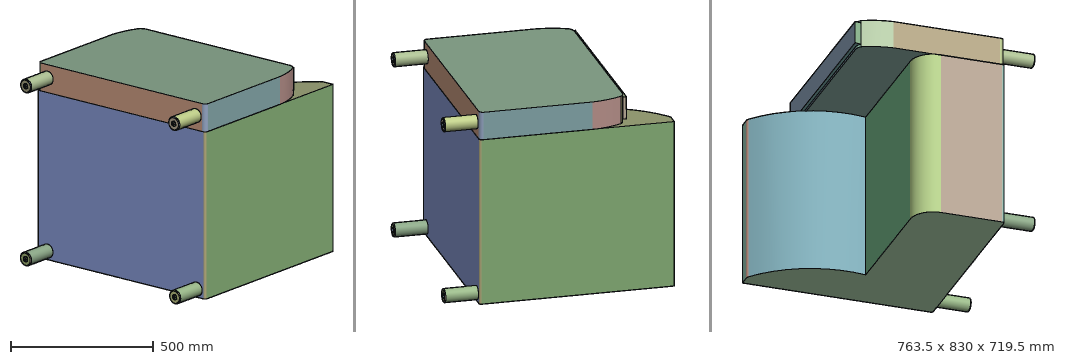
import cadquery as cq
import math

FRONT_Y = 122.0
TOP_Z = 719.5

PANEL_LEFT_X = 3.0
PANEL_RIGHT_X = 763.5
PANEL_BOTTOM_Z = 617.0
PANEL_REAR_Y = 656.0
PANEL_SIDE_END_Y = 534.0
PANEL_TAPER = 30.0
PANEL_CURVE_END_Y = 644.0
PANEL_CURVE_BULGE = 6.0
PANEL_CORNER_INSET = 21.5
PANEL_CORNER_BULGE = 2.1
PANEL_FRONT_RADIUS = 15.0

SEAT_LEFT_X = 0
SEAT_RIGHT_X = 762.0
SEAT_TOP_Y = 443.0
SEAT_NOSE_RADIUS = 85.0
SEAT_FRONT_RADIUS = 7.5
BACK_TOP_Y = 830.0
BACK_ARC_CENTER = (940.0, 513.0)
BACK_ARC_RADIUS = 390.0
BACK_TIP_RADIUS = 25.0

STRIP_LEFT_X = 28.0
STRIP_RIGHT_X = 717.0
STRIP_THICKNESS = 12.5
STRIP_MARGIN = 10.0
STRIP_WEDGE_DEPTH = 8.0

FOOT_DIAMETER = 51.0
FOOT_CHAMFER = 3.0
FOOT_RECESS_DIAMETER = 19.0
FOOT_RECESS_DEPTH = 5.0
FOOT_HOLE_DIAMETER = 8.0
FOOT_HOLE_DEPTH = 17.0
FOOT_CENTERS = [(46.0, 32.0), (722.0, 31.0), (46.5, 671.0), (718.0, 670.0)]


def panel_corner(side_x, inward):
    """Side end, curve middle, curve end and rear end of one rear corner; inward is +1 or -1."""
    start = (side_x, PANEL_SIDE_END_Y)
    end = (side_x + inward * PANEL_TAPER, PANEL_CURVE_END_Y)
    rise = end[1] - start[1]
    chord = math.hypot(PANEL_TAPER, rise)
    middle = (
        (start[0] + end[0]) / 2 - inward * PANEL_CURVE_BULGE * rise / chord,
        (start[1] + end[1]) / 2 + PANEL_CURVE_BULGE * PANEL_TAPER / chord,
    )
    rear = (end[0] + inward * PANEL_CORNER_INSET, PANEL_REAR_Y)
    return start, middle, end, rear


def corner_middle(end, rear):
    """Point on the short rounded corner, pushed outward from the middle of its chord."""
    return ((end[0] + rear[0]) / 2, (end[1] + rear[1]) / 2 + PANEL_CORNER_BULGE)


def make_panel():
    left_start, left_middle, left_end, left_rear = panel_corner(PANEL_LEFT_X, 1)
    right_start, right_middle, right_end, right_rear = panel_corner(PANEL_RIGHT_X, -1)
    slab = (
        cq.Workplane("XY", origin=(0, 0, PANEL_BOTTOM_Z))
        .moveTo(PANEL_LEFT_X, FRONT_Y)
        .lineTo(PANEL_RIGHT_X, FRONT_Y)
        .lineTo(*right_start)
        .threePointArc(right_middle, right_end)
        .threePointArc(corner_middle(right_end, right_rear), right_rear)
        .lineTo(*left_rear)
        .threePointArc(corner_middle(left_end, left_rear), left_end)
        .threePointArc(left_middle, left_start)
        .close()
        .extrude(TOP_Z - PANEL_BOTTOM_Z)
    )
    return slab.edges("|Z and <Y").fillet(PANEL_FRONT_RADIUS)


def back_arc_point(y):
    """Point at height y on the hollow-side curve of the backrest."""
    center_x, center_y = BACK_ARC_CENTER
    return (center_x - math.sqrt(BACK_ARC_RADIUS**2 - (y - center_y) ** 2), y)


def make_seat():
    arc_top = back_arc_point(BACK_TOP_Y)
    arc_middle = back_arc_point((SEAT_TOP_Y + BACK_TOP_Y) / 2)
    arc_bottom = back_arc_point(SEAT_TOP_Y)
    body = (
        cq.Workplane("XY")
        .moveTo(SEAT_LEFT_X, FRONT_Y)
        .lineTo(SEAT_RIGHT_X, FRONT_Y)
        .lineTo(SEAT_RIGHT_X, BACK_TOP_Y)
        .lineTo(*arc_top)
        .threePointArc(arc_middle, arc_bottom)
        .lineTo(SEAT_LEFT_X, SEAT_TOP_Y)
        .close()
        .extrude(PANEL_BOTTOM_Z)
    )
    middle_z = PANEL_BOTTOM_Z / 2
    back_tip = cq.selectors.NearestToPointSelector((*arc_top, middle_z))
    seat_nose = cq.selectors.NearestToPointSelector((SEAT_LEFT_X, SEAT_TOP_Y, middle_z))
    body = body.edges(back_tip).fillet(BACK_TIP_RADIUS)
    body = body.edges(seat_nose).fillet(SEAT_NOSE_RADIUS)
    return body.edges("|Z and <Y").fillet(SEAT_FRONT_RADIUS)


def make_strip(panel):
    outer_y = PANEL_REAR_Y + STRIP_THICKNESS
    blank = (
        cq.Workplane("XY", origin=(0, 0, PANEL_BOTTOM_Z + STRIP_MARGIN))
        .moveTo(STRIP_LEFT_X, outer_y)
        .lineTo(STRIP_RIGHT_X, outer_y)
        .lineTo(STRIP_RIGHT_X, PANEL_REAR_Y)
        .lineTo(PANEL_LEFT_X + PANEL_TAPER + PANEL_CORNER_INSET, PANEL_REAR_Y - STRIP_WEDGE_DEPTH)
        .lineTo(PANEL_LEFT_X + PANEL_TAPER, PANEL_CURVE_END_Y)
        .close()
        .extrude(TOP_Z - PANEL_BOTTOM_Z - 2 * STRIP_MARGIN)
    )
    return blank.cut(panel)


def foot_bore(x, z, diameter, depth):
    """Round cutter entering a foot from its tip."""
    return cq.Workplane("XZ", origin=(x, 0, z)).circle(diameter / 2).extrude(-depth)


def make_foot(x, z):
    foot = (
        cq.Workplane("XZ", origin=(x, 0, z))
        .circle(FOOT_DIAMETER / 2)
        .extrude(-FRONT_Y)
        .faces("<Y")
        .chamfer(FOOT_CHAMFER)
    )
    return foot.cut(foot_bore(x, z, FOOT_RECESS_DIAMETER, FOOT_RECESS_DEPTH)).cut(
        foot_bore(x, z, FOOT_HOLE_DIAMETER, FOOT_HOLE_DEPTH)
    )


panel = make_panel()
seat = make_seat()
strip = make_strip(panel)
feet = [make_foot(x, z) for x, z in FOOT_CENTERS]

result = cq.Compound.makeCompound([body.val() for body in [panel, seat, strip, *feet]])